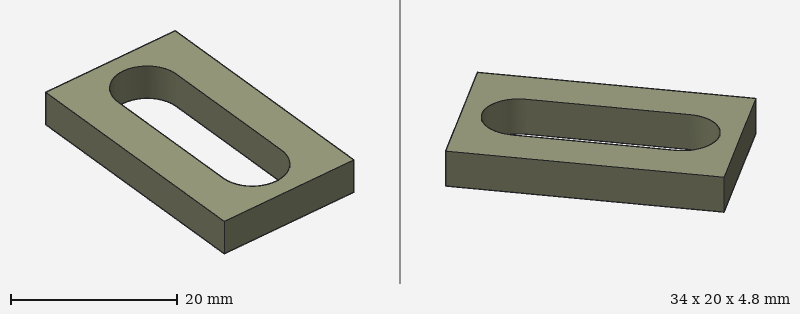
import cadquery as cq

plate_length = 34.0
plate_width = 20.0
plate_thickness = 4.8

slot_length = 29.0
slot_width = 9.0

plate = cq.Workplane("XY").box(plate_length, plate_width, plate_thickness)

result = plate.faces(">Z").workplane().slot2D(slot_length, slot_width).cutThruAll()